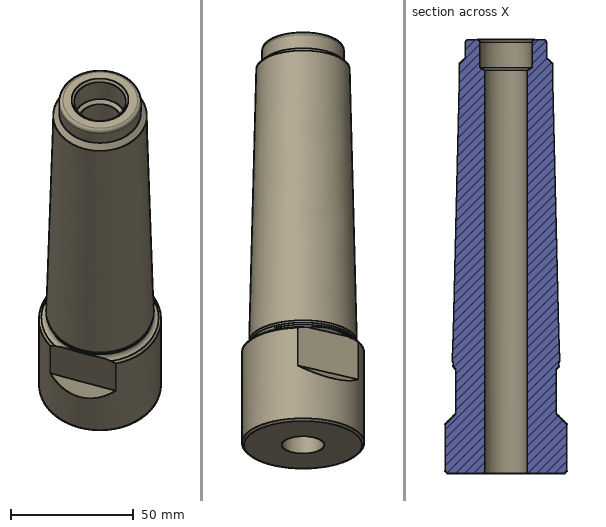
import cadquery as cq
import math

LENGTH = 177.0
COLLAR_RADIUS = 50.0 / 2

BASE_CHAMFER = 0.9
COLLAR_TOP = 41.2
COLLAR_CHAMFER_WIDTH = 1.0
COLLAR_CHAMFER_HEIGHT = 0.9

NECK_RADIUS = 21.6
NECK_BOTTOM = 44.0
NECK_TOP = 45.0
FILLET_SAG = 0.4
SHANK_BOTTOM = 45.8

SHANK_RADIUS = 44.0 / 2
TAPER_TOP = 167.3
TAPER_TOP_RADIUS = 19.1

NOSE_RADIUS = 33.5 / 2
NOSE_BOTTOM = 169.4
NOSE_ROUND = NOSE_RADIUS - 30.5 / 2

BORE_RADIUS = 17.3 / 2
COUNTERBORE_RADIUS = 21.0 / 2
COUNTERBORE_DEPTH = 11.5
BORE_SEAT_HEIGHT = 1.0
MOUTH_CHAMFER = 1.0

FLAT_OFFSET = 20.5
FLAT_BOTTOM = 24.5
FLAT_TOP = 42.5


def make_body():
    """Revolve the outer profile, given as (radius, height), about Z."""
    fillet_radius = COLLAR_RADIUS - COLLAR_CHAMFER_WIDTH
    fillet_bottom = COLLAR_TOP + COLLAR_CHAMFER_HEIGHT
    fillet_run = fillet_radius - NECK_RADIUS
    fillet_rise = NECK_BOTTOM - fillet_bottom
    fillet_middle = (
        NECK_RADIUS + fillet_run / 2 - FILLET_SAG,
        fillet_bottom + fillet_rise / 2 - FILLET_SAG,
    )
    round_center = (NOSE_RADIUS - NOSE_ROUND, LENGTH - NOSE_ROUND)
    round_reach = NOSE_ROUND * math.sqrt(0.5)
    round_middle = (round_center[0] + round_reach, round_center[1] + round_reach)
    return (
        cq.Workplane("XZ")
        .moveTo(0, 0)
        .lineTo(COLLAR_RADIUS - BASE_CHAMFER, 0)
        .lineTo(COLLAR_RADIUS, BASE_CHAMFER)
        .lineTo(COLLAR_RADIUS, COLLAR_TOP)
        .lineTo(fillet_radius, fillet_bottom)
        .threePointArc(fillet_middle, (NECK_RADIUS, NECK_BOTTOM))
        .lineTo(NECK_RADIUS, NECK_TOP)
        .lineTo(SHANK_RADIUS, SHANK_BOTTOM)
        .lineTo(TAPER_TOP_RADIUS, TAPER_TOP)
        .lineTo(NOSE_RADIUS, NOSE_BOTTOM)
        .lineTo(NOSE_RADIUS, LENGTH - NOSE_ROUND)
        .threePointArc(round_middle, (round_center[0], LENGTH))
        .lineTo(0, LENGTH)
        .close()
        .revolve(360, (0, 0), (0, 1))
    )


def make_bore():
    """Through bore, conical seat, counterbore and chamfered mouth."""
    seat_top = LENGTH - COUNTERBORE_DEPTH
    return (
        cq.Workplane("XZ")
        .moveTo(0, 0)
        .lineTo(BORE_RADIUS, 0)
        .lineTo(BORE_RADIUS, seat_top - BORE_SEAT_HEIGHT)
        .lineTo(COUNTERBORE_RADIUS, seat_top)
        .lineTo(COUNTERBORE_RADIUS, LENGTH - MOUTH_CHAMFER)
        .lineTo(COUNTERBORE_RADIUS + MOUTH_CHAMFER, LENGTH)
        .lineTo(0, LENGTH)
        .close()
        .revolve(360, (0, 0), (0, 1))
    )


def make_flat_cutter(side):
    """Trapezoidal cutter for the flat on the given side (+1 or -1) of Y."""
    outside = COLLAR_RADIUS + 1.8
    run_out = outside - FLAT_OFFSET
    profile = [
        (side * FLAT_OFFSET, FLAT_BOTTOM),
        (side * outside, FLAT_BOTTOM - run_out),
        (side * outside, FLAT_TOP + run_out),
        (side * FLAT_OFFSET, FLAT_TOP),
    ]
    return cq.Workplane("YZ").polyline(profile).close().extrude(COLLAR_RADIUS, both=True)


result = make_body().cut(make_bore())
for flat_side in (-1, 1):
    result = result.cut(make_flat_cutter(flat_side))